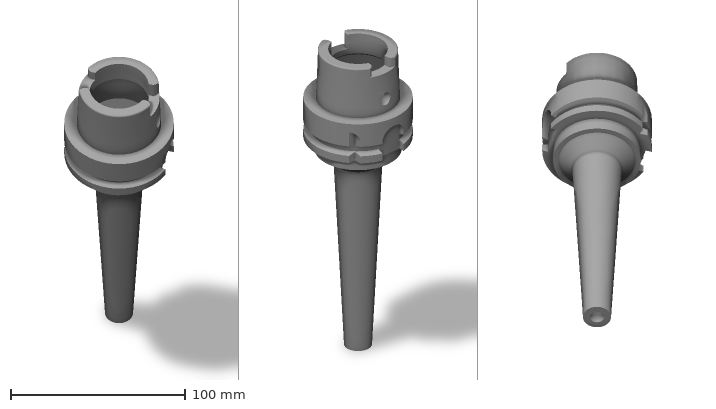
import cadquery as cq
import math

length = 197.0
flange_top = 165.0
flange_bottom = 139.0
collar_bottom = 130.8
cone_bottom = 123.0

nose_radius = 8.0
neck_radius = 14.2
cone_radius = neck_radius + collar_bottom - cone_bottom
collar_radius = 25.2
flange_radius = 31.5
shank_base_radius = 24.2
shank_top_radius = 23.0
rim_round = 1.0

groove_radius = 27.8
groove_lip = 143.8
groove_floor_bottom = 145.0
groove_floor_top = 148.7
groove_top = 150.1

bore_radius = 17.1
undercut_radius = 18.5
undercut_start = 183.8
undercut_full = undercut_start - (undercut_radius - bore_radius)
bore_floor = 165.5
coolant_radius = 9.3
coolant_floor = 149.7
through_radius = 4.1

cross_radius = 4.0
cross_height = 174.1

drive_width = 12.5
drive_depth_left = 6.1
drive_depth_right = 9.7
drive_round = 3.3

key_floor = 26.8
key_top = 159.8
key_width_left = 16.2
key_width_right = 18.0
notch_floor = 19.9
notch_edge = 19.9
notch_radius = 6.3
notch_top = 160.0


def revolve(points):
    """Revolve a closed (radius, height) outline around the Z axis."""
    return cq.Workplane("XZ").polyline(points).close().revolve(360, (0, 0), (0, 1))


def drive_slot(side, depth):
    """Rim slot on one X side, whose walls flare out in rounds at the outer surface."""
    half = drive_width / 2
    flare_end = math.sqrt(shank_top_radius**2 - (half + drive_round)**2)
    flare_start = flare_end - drive_round
    mid = drive_round * math.sqrt(0.5)
    outside = flange_radius
    return (
        cq.Workplane("XY", origin=(0, 0, length - depth))
        .moveTo(0, -half)
        .lineTo(side * flare_start, -half)
        .threePointArc(
            (side * (flare_start + mid), -half - drive_round + mid),
            (side * flare_end, -half - drive_round),
        )
        .lineTo(side * outside, -half - drive_round)
        .lineTo(side * outside, half + drive_round)
        .lineTo(side * flare_end, half + drive_round)
        .threePointArc(
            (side * (flare_start + mid), half + drive_round - mid),
            (side * flare_start, half),
        )
        .lineTo(0, half)
        .close()
        .extrude(depth)
    )


def round_top_cutter(side, floor, center_y, radius, top):
    """Cutter outside the plane |X| = floor, from the flange bottom to a round top."""
    center_z = top - radius
    return (
        cq.Workplane("YZ", origin=(side * floor, 0, 0))
        .moveTo(center_y - radius, flange_bottom)
        .lineTo(center_y - radius, center_z)
        .threePointArc((center_y, top), (center_y + radius, center_z))
        .lineTo(center_y + radius, flange_bottom)
        .close()
        .extrude(side * (flange_radius - floor + 2))
    )


def key_slot(side, width):
    """Flange key slot centred on one X side."""
    return round_top_cutter(side, key_floor, 0, width / 2, key_top)


body = revolve([
    (0, 0),
    (nose_radius, 0),
    (neck_radius, cone_bottom),
    (cone_radius, collar_bottom),
    (collar_radius, collar_bottom),
    (collar_radius, flange_bottom),
    (flange_radius, flange_bottom),
    (flange_radius, groove_lip),
    (groove_radius, groove_floor_bottom),
    (groove_radius, groove_floor_top),
    (flange_radius, groove_top),
    (flange_radius, flange_top),
    (shank_base_radius, flange_top),
    (shank_top_radius, length),
    (0, length),
])
body = body.faces(">Z").edges().fillet(rim_round)

bore = revolve([
    (0, 0),
    (through_radius, 0),
    (through_radius, coolant_floor),
    (coolant_radius, coolant_floor),
    (coolant_radius, bore_floor),
    (undercut_radius, bore_floor),
    (undercut_radius, undercut_full),
    (bore_radius, undercut_start),
    (bore_radius, length),
    (0, length),
])
body = body.cut(bore)

cross_hole = (
    cq.Workplane("YZ")
    .center(0, cross_height)
    .circle(cross_radius)
    .extrude(flange_radius, both=True)
)
body = body.cut(cross_hole)

body = body.cut(drive_slot(-1, drive_depth_left))
body = body.cut(drive_slot(1, drive_depth_right))

body = body.cut(key_slot(-1, key_width_left))
body = body.cut(key_slot(1, key_width_right))

notch = round_top_cutter(-1, notch_floor, notch_edge + notch_radius, notch_radius, notch_top)
result = body.cut(notch)